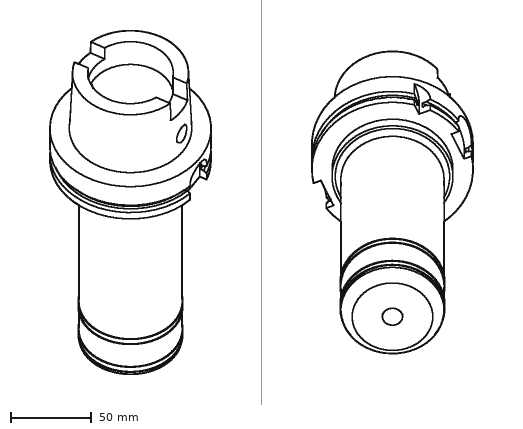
import cadquery as cq


shank_length = 50.0
shank_base_radius = 38.0
shank_top_radius = 36.0
shank_bore_radius = 26.5
shank_bore_depth = 20.5
undercut_radius = 31.5
pocket_floor_z = -18.0
side_hole_diameter = 12.0
side_hole_z = 15.0

key_width = 20.0
key_depth_minus_x = 10.0
key_depth_plus_x = 15.0

coolant_counterbore_diameter = 25.0
coolant_counterbore_depth = 20.0
coolant_hole_diameter = 12.5

flange_radius = 50.0
flange_thickness = 29.0
groove_centre_z = -20.0
groove_mouth_width = 6.6
groove_floor_width = 4.0
groove_lip_radius = 48.0
groove_floor_radius = 46.0

flange_slot_width = 20.0
flange_slot_top_z = -5.0
drive_slot_floor = 44.0
notch_floor = 31.4
notch_centre_y = 41.5

collar_radius = 37.5
collar_bottom_z = -36.5
body_radius = 32.0
neck_cone_height = 3.5
body_bottom_z = -195.0
band_radius = 32.5
band_height = 4.5
upper_band_top_z = -156.0
lower_band_top_z = -181.0
nose_height = 7.0
nose_radius = 25.0


def make_body():
    """Revolve the solid outline of shank, flange, collar and body."""
    mouth = groove_mouth_width / 2
    floor = groove_floor_width / 2
    profile = [
        (0, shank_length),
        (shank_top_radius, shank_length),
        (shank_base_radius, 0),
        (flange_radius, 0),
        (flange_radius, groove_centre_z + mouth),
        (groove_lip_radius, groove_centre_z + floor),
        (groove_floor_radius, groove_centre_z + floor),
        (groove_floor_radius, groove_centre_z - floor),
        (groove_lip_radius, groove_centre_z - floor),
        (flange_radius, groove_centre_z - mouth),
        (flange_radius, -flange_thickness),
        (collar_radius, -flange_thickness),
        (collar_radius, collar_bottom_z),
        (body_radius + neck_cone_height, collar_bottom_z),
        (body_radius, collar_bottom_z - neck_cone_height),
        (body_radius, body_bottom_z + nose_height),
        (nose_radius, body_bottom_z),
        (0, body_bottom_z),
    ]
    return cq.Workplane("YZ").polyline(profile).close().revolve(360, (0, 0), (0, 1))


def make_band(top_z):
    """Slightly raised band around the body."""
    return cq.Workplane("XY").workplane(offset=top_z).circle(band_radius).extrude(-band_height)


def make_interior():
    """Shank bore with its undercut, and the coolant passage down the axis."""
    bore_end_z = shank_length - shank_bore_depth
    counterbore_radius = coolant_counterbore_diameter / 2
    counterbore_floor_z = pocket_floor_z - coolant_counterbore_depth
    hole_radius = coolant_hole_diameter / 2
    profile = [
        (0, shank_length),
        (shank_bore_radius, shank_length),
        (shank_bore_radius, bore_end_z),
        (undercut_radius, bore_end_z),
        (undercut_radius, pocket_floor_z),
        (counterbore_radius, pocket_floor_z),
        (counterbore_radius, counterbore_floor_z),
        (hole_radius, counterbore_floor_z),
        (hole_radius, body_bottom_z),
        (0, body_bottom_z),
    ]
    return cq.Workplane("YZ").polyline(profile).close().revolve(360, (0, 0), (0, 1))


def make_key_slot(side, depth):
    """Open slot in the shank rim; side is -1 for -X and +1 for +X."""
    return (
        cq.Workplane("XY", origin=(side * flange_radius / 2, 0, shank_length))
        .rect(flange_radius, key_width)
        .extrude(-depth)
    )


def make_side_holes():
    """Cross hole through both walls of the shank."""
    return (
        cq.Workplane("YZ", origin=(0, 0, side_hole_z))
        .circle(side_hole_diameter / 2)
        .extrude(flange_radius, both=True)
    )


def make_flange_slot(side, floor_distance, centre_y):
    """Round-topped slot, open below, cut along X from outside the flange to its floor."""
    radius = flange_slot_width / 2
    arc_centre_z = flange_slot_top_z - radius
    return (
        cq.Workplane("YZ", origin=(side * floor_distance, 0, 0))
        .moveTo(centre_y - radius, -flange_thickness)
        .lineTo(centre_y - radius, arc_centre_z)
        .threePointArc((centre_y, flange_slot_top_z), (centre_y + radius, arc_centre_z))
        .lineTo(centre_y + radius, -flange_thickness)
        .close()
        .extrude(side * flange_radius)
    )


result = make_body()
for band_top_z in (upper_band_top_z, lower_band_top_z):
    result = result.union(make_band(band_top_z))

result = result.cut(make_interior()).cut(make_side_holes())

for side, key_depth in ((-1, key_depth_minus_x), (1, key_depth_plus_x)):
    result = result.cut(make_key_slot(side, key_depth))
    result = result.cut(make_flange_slot(side, drive_slot_floor, 0))

result = result.cut(make_flange_slot(-1, notch_floor, notch_centre_y))